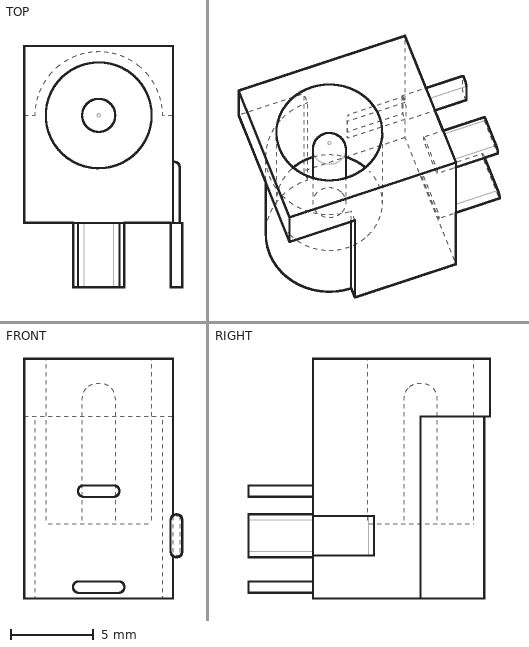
import cadquery as cq

body_width = 9.0
body_height = 14.5
body_depth = 10.7
head_height = 3.5
axis_setback = 4.2
axis_x = body_width / 2
axis_y = body_depth - axis_setback
barrel_radius = 3.85

socket_radius = 3.2
socket_depth = 10.0
contact_radius = 1.0
contact_tip_radius = 0.9
contact_tip_drop = 1.5

terminal_thickness = 0.7
terminal_length = 3.9
upper_terminal_width = 2.5
upper_terminal_z = 6.5
lower_terminal_width = 3.1
lower_terminal_z = 0.7
side_terminal_width = 2.6
side_terminal_x = 9.2
side_terminal_z = 3.8

strip_height = 2.4
strip_length = 3.7
strip_outer_x = 9.4


def make_housing():
    """Full-depth head, shallower lower block and round barrel behind it."""
    lower_block = cq.Workplane("XY").box(body_width, axis_y, body_height, centered=False)
    head = (
        cq.Workplane("XY")
        .workplane(offset=body_height - head_height)
        .rect(body_width, body_depth, centered=False)
        .extrude(head_height)
    )
    barrel = cq.Workplane("XY").center(axis_x, axis_y).circle(barrel_radius).extrude(body_height)
    return lower_block.union(head).union(barrel)


def make_socket():
    """Blind round bore open at the top."""
    return (
        cq.Workplane("XY", origin=(axis_x, axis_y, body_height - socket_depth))
        .circle(socket_radius)
        .extrude(socket_depth)
    )


def make_contact():
    """Round-tipped pin standing on the socket floor."""
    return (
        cq.Workplane("XY", origin=(axis_x, axis_y, body_height - socket_depth))
        .circle(contact_radius)
        .extrude(socket_depth - contact_tip_drop)
        .faces(">Z")
        .edges()
        .fillet(contact_tip_radius)
    )


def make_terminal(x, z, width, angle=0):
    """Flat blade with round edges, running forward from the front face."""
    return (
        cq.Workplane("XZ", origin=(x, 0, z))
        .slot2D(width, terminal_thickness, angle)
        .extrude(terminal_length)
    )


def make_side_strip():
    """Strip partly sunk in the +X wall, with a round back end."""
    strip_inner_x = strip_outer_x - terminal_thickness
    round_start_y = strip_length - terminal_thickness / 2
    strip_middle_x = strip_outer_x - terminal_thickness / 2
    return (
        cq.Workplane("XY", origin=(0, 0, side_terminal_z - strip_height / 2))
        .moveTo(strip_inner_x, 0)
        .lineTo(strip_outer_x, 0)
        .lineTo(strip_outer_x, round_start_y)
        .threePointArc((strip_middle_x, strip_length), (strip_inner_x, round_start_y))
        .close()
        .extrude(strip_height)
    )


result = (
    make_housing()
    .cut(make_socket())
    .union(make_contact())
    .union(make_side_strip())
    .union(make_terminal(axis_x, upper_terminal_z, upper_terminal_width))
    .union(make_terminal(axis_x, lower_terminal_z, lower_terminal_width))
    .union(make_terminal(side_terminal_x, side_terminal_z, side_terminal_width, angle=90))
)